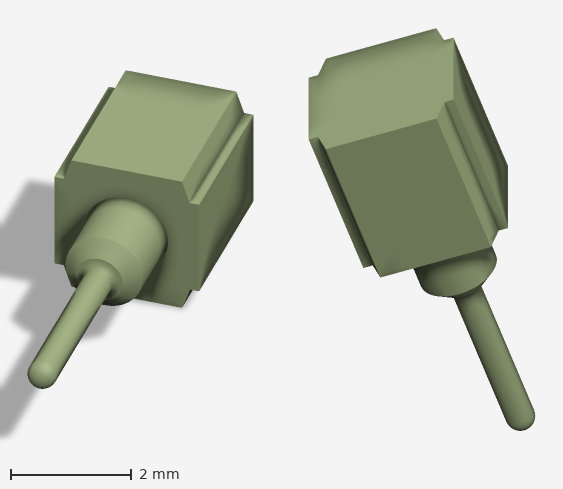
import cadquery as cq
import math

housing_size = 2.54
housing_length = 2.794
flat_width = 1.94
ledge_width = 0.165
notch_height = 0.4

socket_radius = 0.725
socket_depth = housing_length / 2

barrel_radius = 0.675
barrel_reach = 1.16
barrel_chamfer = 0.25
flare_start = 0.2
flare_length = 0.2
rod_radius = 0.25
fillet_radius = 0.16
pin_reach = 4.576


def make_housing():
    half = housing_size / 2
    ledge_x = half - ledge_width
    ledge_z = half - notch_height
    corner = [(half, ledge_z), (ledge_x, ledge_z), (flat_width / 2, half)]
    upper = corner + [(-x, z) for x, z in reversed(corner)]
    lower = [(-x, -z) for x, z in upper]
    block = cq.Workplane("XZ").polyline(upper + lower).close().extrude(-housing_length)
    socket = cq.Workplane("XZ").circle(socket_radius).extrude(-socket_depth)
    return block.cut(socket)


def make_pin():
    """Revolve a half profile, drawn as (radius, Y), about the Y axis."""
    arc_middle = math.cos(math.radians(45))
    cone_end = -barrel_reach - barrel_chamfer
    fillet_inset = fillet_radius * (1 - arc_middle)
    ball_centre = rod_radius - pin_reach
    ball_offset = rod_radius * arc_middle
    profile = (
        cq.Workplane("XY")
        .moveTo(0, socket_depth)
        .lineTo(socket_radius, socket_depth)
        .lineTo(socket_radius, flare_start + flare_length)
        .lineTo(barrel_radius, flare_start)
        .lineTo(barrel_radius, -barrel_reach)
        .lineTo(rod_radius + fillet_radius, cone_end)
        .threePointArc(
            (rod_radius + fillet_inset, cone_end - fillet_inset),
            (rod_radius, cone_end - fillet_radius),
        )
        .lineTo(rod_radius, ball_centre)
        .threePointArc((ball_offset, ball_centre - ball_offset), (0, -pin_reach))
        .close()
    )
    return profile.revolve(360, (0, 0, 0), (0, 1, 0))


housing = make_housing()
pin = make_pin()
result = cq.Compound.makeCompound([housing.val(), pin.val()])